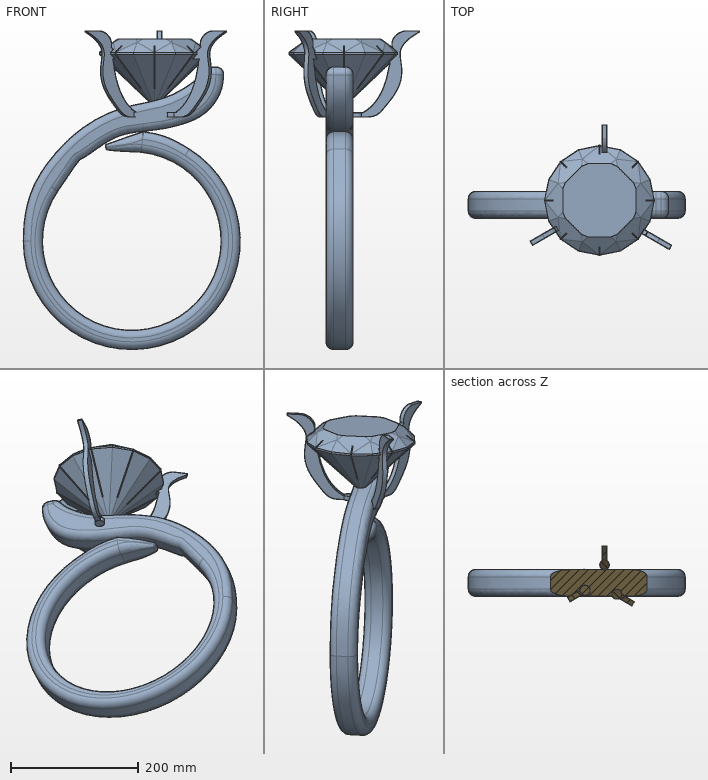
import cadquery as cq
import math


BAND_OUTER_R = 170.4
BAND_INNER_R = 140.0
BAND_WIDTH = 42.5
BAND_ROUND = 12.0
TAIL_BULGE_ANGLE = 58.0
TAIL_BULGE_MID_ANGLE = 72.0
TAIL_BULGE_R = 172.0
TAIL_START_ANGLE = 84.0
TAIL_START_R = 172.5
TAIL_TIP_ROUND = 3.0
HEAD_OUTER_ANGLE = 180.0
HEAD_INNER_ANGLE = 146.0
HOOK_TOP = 273.5
HOOK_LEFT = 118.0
HOOK_RIGHT = 144.5
HOOK_RISE = (1, 1.3)

GEM_X = 35.5
GEM_Y = 7.0
GIRDLE_R = 86.0
GIRDLE_BOTTOM = 293.5
GIRDLE_TOP = 296.5
TABLE_Z = 317.5
TABLE_APOTHEM = 57.5
TABLE_HALF_EDGE = 18.0
STAR_POINT_R = 70.0
PAVILION_DEPTH = 82.5
GEM_SECTORS = 8
SECTOR = 360.0 / GEM_SECTORS
FIN_THICKNESS = 1.5
FIN_PROUD = 0.5
FIN_TOP_R = 73.0
FIN_LOW_R = 30.0

PRONG_COUNT = 3
SETTING_X = 39.8
SETTING_Y = -0.5
PRONG_THICKNESS = 7.5
PRONG_TOP = 330.1
PRONG_TIP_R = 126.0
TIP_FLARE = (1.6, 1)
PRONG_FOOT_R = 31.0
PRONG_FOOT_BOTTOM = 194.5
PRONG_FOOT_TOP = 201.5
TOOTH_TIP_R = 62.0
TOOTH_TOP = 304.5
TOOTH_BOTTOM = 286.0
NECK_R = 83.0
FOOT_R = 7.5
FOOT_CENTRE_R = 28.8


def on_circle(radius, degrees):
    """Point of the X-Z plane at an angle from +X."""
    angle = math.radians(degrees)
    return radius * math.cos(angle), radius * math.sin(angle)


def tangent(degrees):
    """Direction of growing angle on a circle of the X-Z plane."""
    angle = math.radians(degrees)
    return -math.sin(angle), math.cos(angle)


def make_band_loop():
    """Constant-width part of the band: the round loop and the wider head with its hook."""
    bottom_angle = -90.0
    outer_tangent = tuple(-c for c in tangent(HEAD_OUTER_ANGLE))
    inner_tangent = tangent(HEAD_INNER_ANGLE)
    bulge_start = tuple(-c for c in tangent(TAIL_START_ANGLE))
    bulge_end = tuple(-c for c in tangent(TAIL_BULGE_ANGLE))
    outline = (
        cq.Workplane("XZ", origin=(0, BAND_WIDTH / 2, 0))
        .moveTo(*on_circle(BAND_INNER_R, HEAD_INNER_ANGLE))
        .threePointArc(on_circle(BAND_INNER_R, bottom_angle), on_circle(BAND_INNER_R, TAIL_START_ANGLE))
        .lineTo(*on_circle(TAIL_START_R, TAIL_START_ANGLE))
        .spline(
            [on_circle(TAIL_BULGE_R, TAIL_BULGE_MID_ANGLE), on_circle(BAND_OUTER_R, TAIL_BULGE_ANGLE)],
            tangents=[bulge_start, bulge_end], includeCurrent=True,
        )
        .threePointArc(on_circle(BAND_OUTER_R, bottom_angle), on_circle(BAND_OUTER_R, HEAD_OUTER_ANGLE))
        .spline(
            [(-153.0, 88.0), (-118.5, 139.0), (-57.5, 190.0), (0, 212.5), (56.5, 226.5), (105.5, 258.0),
             (HOOK_LEFT, HOOK_TOP)],
            tangents=[outer_tangent, HOOK_RISE], includeCurrent=True,
        )
        .lineTo(HOOK_RIGHT, HOOK_TOP)
        .spline(
            [(139.5, 234.5), (117.0, 202.5), (78.5, 183.0), (27.0, 173.0), (-27.5, 161.5), (-75.5, 130.5),
             on_circle(BAND_INNER_R, HEAD_INNER_ANGLE)],
            tangents=[(0, -1), inner_tangent], includeCurrent=True,
        )
        .close()
    )
    loop = outline.extrude(BAND_WIDTH)
    rims = loop.faces("<Y or >Y").edges()
    hook_corners = loop.faces(">Z").edges("|Y")
    joint_x, joint_z = on_circle((BAND_INNER_R + TAIL_START_R) / 2, TAIL_START_ANGLE)
    rounded = [e for e in rims.vals() + hook_corners.vals()
               if math.hypot(e.Center().x - joint_x, e.Center().z - joint_z) > BAND_ROUND]
    return loop.newObject(rounded).fillet(BAND_ROUND)


def tail_section(upper, lower, width, corner):
    """Rounded rectangle standing on the line between two points of the X-Z plane."""
    height = math.dist(upper, lower)
    centre = ((upper[0] + lower[0]) / 2, 0, (upper[1] + lower[1]) / 2)
    along = cq.Vector(upper[0] - lower[0], 0, upper[1] - lower[1])
    plane = cq.Plane(origin=centre, xDir=(0, 1, 0), normal=cq.Vector(0, 1, 0).cross(along))
    wire = cq.Workplane(plane).rect(width, height).wires().val()
    return wire.fillet2D(corner, wire.Vertices())


def make_tail():
    """Tapered tail of the band with a rounded tip."""
    sections = [
        tail_section(on_circle(TAIL_START_R, TAIL_START_ANGLE), on_circle(BAND_INNER_R, TAIL_START_ANGLE),
                     BAND_WIDTH, BAND_ROUND),
        tail_section((-3.5, 164.5), (-1.5, 140.0), 40.0, 11.5),
        tail_section((-23.0, 157.5), (-20.5, 141.0), 30.0, 7.5),
        tail_section((-42.0, 151.0), (-40.0, 143.0), 15.0, 3.5),
    ]
    tail = cq.Workplane(cq.Solid.makeLoft(sections))
    return tail.faces("<X").edges().fillet(TAIL_TIP_ROUND)


def make_band():
    return make_band_loop().union(make_tail())


def gem_point(radius, degrees, height):
    angle = math.radians(degrees)
    return cq.Vector(GEM_X + radius * math.cos(angle), GEM_Y + radius * math.sin(angle), height)


def crown_height(radius):
    """Height of a main crown facet along its middle line."""
    slope = (TABLE_Z - GIRDLE_TOP) / (GIRDLE_R - TABLE_APOTHEM)
    return GIRDLE_TOP + slope * (GIRDLE_R - radius)


def make_cut_stone():
    """Round brilliant: table, crown facets, thin girdle and a pointed pavilion."""
    table_r = math.hypot(TABLE_APOTHEM, TABLE_HALF_EDGE)
    table_turn = math.degrees(math.atan2(TABLE_HALF_EDGE, TABLE_APOTHEM))
    half = SECTOR / 2
    star_z = crown_height(STAR_POINT_R * math.cos(math.radians(half)))
    culet = gem_point(0, 0, GIRDLE_BOTTOM - PAVILION_DEPTH)

    table = []
    facets = []
    for i in range(GEM_SECTORS):
        mid = i * SECTOR
        table_edge = [gem_point(table_r, mid + turn, TABLE_Z) for turn in (-table_turn, table_turn)]
        next_corner = gem_point(table_r, mid + SECTOR - table_turn, TABLE_Z)
        stars = [gem_point(STAR_POINT_R, mid + turn, star_z) for turn in (-half, half)]
        main_point = gem_point(GIRDLE_R, mid, GIRDLE_TOP)
        table += table_edge
        facets.append([table_edge[0], stars[0], main_point, stars[1], table_edge[1]])
        facets.append([table_edge[1], stars[1], next_corner])
        for turn, star in zip((-half, half), stars):
            side_point = gem_point(GIRDLE_R, mid + turn, GIRDLE_TOP)
            low_main = gem_point(GIRDLE_R, mid, GIRDLE_BOTTOM)
            low_side = gem_point(GIRDLE_R, mid + turn, GIRDLE_BOTTOM)
            facets.append([main_point, star, side_point])
            facets.append([main_point, side_point, low_side, low_main])
            facets.append([low_main, low_side, culet])
    facets.append(table)
    faces = [cq.Face.makeFromWires(cq.Wire.makePolygon(points, close=True)) for points in facets]
    return cq.Workplane(cq.Solid.makeSolid(cq.Shell.makeShell(faces)))


def make_girdle_fin():
    """Thin sharp ridge over one corner of the girdle."""
    low_z = GIRDLE_BOTTOM - PAVILION_DEPTH * (1 - FIN_LOW_R / GIRDLE_R)
    fin = (
        cq.Workplane("XZ", origin=(0, FIN_THICKNESS / 2, 0))
        .moveTo(FIN_LOW_R, low_z)
        .lineTo(GIRDLE_R + FIN_PROUD, GIRDLE_BOTTOM)
        .lineTo(GIRDLE_R + FIN_PROUD, GIRDLE_TOP)
        .lineTo(FIN_TOP_R, crown_height(FIN_TOP_R))
        .close()
        .extrude(FIN_THICKNESS)
    )
    return fin.translate((GEM_X, GEM_Y, 0))


def make_gem():
    """Cut stone with a fin over every second corner of its girdle."""
    gem = make_cut_stone()
    fin = make_girdle_fin()
    for i in range(GEM_SECTORS):
        gem = gem.union(fin.rotate((GEM_X, GEM_Y, 0), (GEM_X, GEM_Y, 1), i * SECTOR))
    return gem


def around_setting(body, index):
    """Turn a body built at the +Y place to one of the equally spaced places."""
    turn = index * 360.0 / PRONG_COUNT
    return body.rotate((SETTING_X, SETTING_Y, 0), (SETTING_X, SETTING_Y, 1), turn)


def make_foot(index):
    """Small upright disc that joins a prong to the band."""
    centre = (SETTING_X + PRONG_THICKNESS / 2, SETTING_Y + FOOT_CENTRE_R, PRONG_FOOT_BOTTOM)
    foot = (
        cq.Workplane("XY", origin=centre)
        .circle(FOOT_R)
        .extrude(PRONG_FOOT_TOP - PRONG_FOOT_BOTTOM)
    )
    return around_setting(foot, index)


def make_prong(index):
    """Flat claw with one face on the setting axis, a flared tip and a tooth under the gem."""
    claw = (
        cq.Workplane("YZ", origin=(SETTING_X, SETTING_Y, 0))
        .moveTo(PRONG_FOOT_R, PRONG_FOOT_BOTTOM)
        .lineTo(45.0, PRONG_FOOT_BOTTOM)
        .spline([(71.5, 210.0), (93.5, 242.5), (98.0, 273.0), (97.5, 303.0), (106.5, 315.0), (PRONG_TIP_R, 328.5)],
                tangents=[(1, 0), TIP_FLARE], includeCurrent=True)
        .lineTo(PRONG_TIP_R, PRONG_TOP)
        .lineTo(104.0, PRONG_TOP)
        .spline([(92.5, 326.0), (84.0, 316.5), (NECK_R, TOOTH_TOP)], includeCurrent=True)
        .lineTo(TOOTH_TIP_R, TOOTH_BOTTOM)
        .lineTo(80.5, TOOTH_BOTTOM)
        .spline([(73.0, 252.0), (56.0, 217.5), (37.0, PRONG_FOOT_TOP)], includeCurrent=True)
        .lineTo(PRONG_FOOT_R, PRONG_FOOT_TOP)
        .close()
        .extrude(PRONG_THICKNESS)
    )
    return around_setting(claw, index)


gem = make_gem()
feet = [make_foot(i) for i in range(PRONG_COUNT)]
prongs = [make_prong(i).cut(gem).cut(feet[i]) for i in range(PRONG_COUNT)]

band = make_band().cut(gem)
for seated in feet + prongs:
    band = band.cut(seated)

result = cq.Compound.makeCompound(
    [band.val(), gem.val(), *[p.val() for p in prongs], *[f.val() for f in feet]]
)